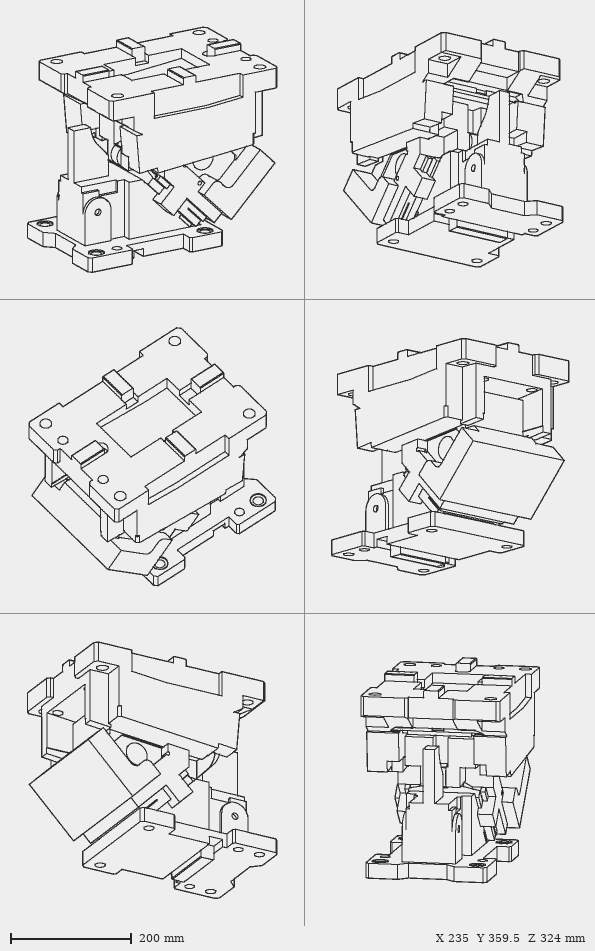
import cadquery as cq
import math


SLOPE = math.sqrt(0.5)
TILT = math.tan(math.radians(5))
total_depth = 359.5
total_height = 324.0
key_width = 24.8
key_height = 12.2
key_chamfer = 1.5
keyway_depth = 13.3
corner_chamfer = 5.5

base_half_width = 102.5
base_depth = 260.0
base_plate_height = 25.0
base_front_notch_half = 32.5
base_front_notch_depth = 15.0
side_notch_depth = 23.5
side_notch_front = 85.2
side_notch_back = 195.0
lug_chamfer = 3.5
base_key_y = 105.5
base_key_half_length = 49.5
base_bolt_x = 82.5
base_bolt_inset = 25.0
base_bolt_diameter = 17.0
counterbore_diameter = 26.5
counterbore_depth = 2.0
dowel_y = 65.0
dowel_diameter = 15.8

block_front = 25.5
block_half_width = 39.2
block_top = 125.0
way_block_front = 105.0
way_half_width = 55.0
toe_foot = -179.8
toe_above = 9.5
step_half_width = 33.5
step_y = 56.5
step_front_z = 114.7
step_back_z = 105.0
boss_half_width = 45.3
boss_radius = 25.0
boss_axis_z = 79.5
boss_hole_diameter = 11.0
tower_half_width = 9.7
tower_back = 92.0
tower_tip_back = 58.0
tower_top = 216.0
tower_curve_middle = (61.5, 200.5)
tower_curve_end = (68.5, 187.0)
tower_slope_end_z = 161.8

way_start_y = 130.0
slider_half_width = 100.0
plate_foot = -161.5
plate_face = -121.0
plate_low = 44.0
plate_high = (total_depth - way_start_y) / SLOPE + plate_foot
lip_along = -86.5
lip_above = 78.0
lip_radius = 10.8
cheek_half_width = 81.0
cheek_foot = -151.5
cheek_low = 23.5
cheek_high = 62.5
hook_foot = -77.0
hook_head = -41.7
hook_low = -13.0
wear_half_width = 68.0
wear_step_foot = -141.3
wear_step_above = 14.5
wear_foot = -136.0
wear_head = -15.8
wear_bevel = 1.8
wear_bevel_head = -100.5
gib_half_width = 55.7
gib_foot = -135.2
gib_head = -106.0
gib_low = -5.8
saddle_half_width = 60.0
saddle_head = -11.5
saddle_edge_above = 13.5
saddle_ridge_above = 28.0
roof_half_width = 28.8
roof_low_half_width = 45.0
roof_above = 29.5
roof_foot = -72.0
neck_half_width = 63.0
slider_front = 157.5
cheek_back = 197.8
neck_back = 297.7
shoulder_z = 166.0
slider_hole_y = 245.0
slider_hole_z = 142.7
slider_hole_diameter = 39.5
neck_recess_depth = 3.5
neck_recess_low = 79.0
neck_recess_above = 133.5
neck_recess_chamfer = 5.8
relief_radius = 3.2
relief_along = -78.7
relief_above = 56.0
nose_front = 116.5
nose_half_width = 59.7
nose_low = 170.0
nose_top = 219.0
chin_half_width = 33.5
chin_low = 136.5
tower_slot_half_width = 12.5
tower_slot_back = 140.2
lobe_y = 129.0
lobe_z = 153.0
lobe_radius = 20.0
lobe_half_width = 9.7

holder_half_width = 117.5
holder_front = 31.5
holder_back = 356.0
holder_top = total_height - 2 * key_height
holder_plate_height = 35.0
front_notch_half = 38.0
front_notch_depth = 10.0
back_notch_half = 42.5
back_notch_depth = 10.0
notch_chamfer = 4.5
skirt_back = 311.5
skirt_bevel = 4.5
skirt_bevel_top = 192.7
skirt_low_front = (123.5, 157.5)
skirt_lip = (122.0, 166.5)
toe_low = (87.7, 163.2)
toe_high = (82.0, 230.5)
undercut_start = (93.5, 230.5)
undercut_end = (31.5, 267.5)
gusset_half_width = 79.0
skirt_front = 76.2
back_leg_front = 306.7
back_leg_back = 346.0
back_leg_low = 168.3
back_leg_half_width = 82.0
channel_half_width = 63.5
channel_low_half_width = 65.5
channel_low_top = 182.0
channel_front_y = 100.0
channel_front_z = 223.5
mouth_half_width = 67.0
mouth_back = 95.3
mouth_top = 242.0
mouth_low = 233.0
groove_half_width = 9.7
groove_low = 235.0
groove_depth = 3.5
lintel_back = 108.0
lintel_pocket_inner = 54.0
lintel_pocket_back = 115.0
skirt_notch_half = 83.8
skirt_notch_back = 124.5
skirt_notch_top = 182.0
side_pocket_depth = 10.0
side_pocket_front = 116.0
side_pocket_back = 287.0
side_pocket_bend = 222.2
side_pocket_z = 255.0
top_pocket_half_width = 45.3
top_pocket_front = 116.0
top_pocket_back = 266.0
top_pocket_bend = 163.5
top_pocket_depth = 26.0
key_length = 50.0
cross_key_y = 190.2
back_keyway_end = 282.0
holder_hole_x = 97.8
holder_hole_front = 56.8
holder_hole_back = 331.5
holder_hole_diameter = 19.5
tap_hole_x = 53.0
tap_hole_diameter = 17.0


def box(x0, x1, y0, y1, z0, z1):
    """Box between two corners."""
    return cq.Workplane("XY").box(x1 - x0, y1 - y0, z1 - z0, centered=False).translate((x0, y0, z0))


def bar(half_width, y0, y1, z0, z1):
    """Box centred on the mid plane."""
    return box(-half_width, half_width, y0, y1, z0, z1)


def profile(points, half_width):
    """Side outline in (Y, Z), extruded evenly to both sides of the mid plane."""
    return cq.Workplane("YZ").polyline(points).close().extrude(half_width, both=True)


def both_sides(shape):
    """A shape together with its mirror image across the mid plane."""
    return shape.union(shape.mirror("YZ"))


def on_way(along, above):
    """(Y, Z) of a point given along the way (up-slope) and square to it."""
    return (way_start_y + (above - along) * SLOPE, block_top + (above + along) * SLOPE)


def way_z(y, above):
    """Height at y of the plane that lies above the way by the given amount."""
    return way_start_y + block_top + above / SLOPE - y


def way_bar(half_width, foot, head, low, high):
    """Bar lying along the way."""
    corners = [(foot, low), (head, low), (head, high), (foot, high)]
    return profile([on_way(*corner) for corner in corners], half_width)


def way_section(points, foot, head):
    """Cross-section in (X, above the way), extruded along the way."""
    start_y, start_z = on_way(foot, 0)
    plane = cq.Plane(origin=(0, start_y, start_z), xDir=(1, 0, 0), normal=(0, -1, 1))
    return cq.Workplane(plane).polyline(points).close().extrude(head - foot)


def holes(positions, diameter, bottom, top):
    """Vertical round cutters."""
    plane = cq.Workplane("XY", origin=(0, 0, bottom))
    return plane.pushPoints(positions).circle(diameter / 2).extrude(top - bottom)


def key(x0, x1, y0, y1, bottom, top, edges):
    """Square key with the chosen long edges chamfered."""
    return box(x0, x1, y0, y1, bottom, top).edges(edges).chamfer(key_chamfer)


def contact_z(y):
    """Height of the tilted face where holder and slider meet."""
    return skirt_low_front[1] + (y - skirt_low_front[0]) * TILT


def base_plate():
    plate = bar(base_half_width, 0, base_depth, 0, base_plate_height)
    plate = plate.edges("|Z").chamfer(corner_chamfer)
    side_notch = box(base_half_width - side_notch_depth, base_half_width, side_notch_front, side_notch_back,
                     0, base_plate_height)
    lug_bevel = (
        cq.Workplane("XY")
        .polyline([
            (base_half_width - lug_chamfer, side_notch_front),
            (base_half_width, side_notch_front - lug_chamfer),
            (base_half_width, side_notch_back + lug_chamfer),
            (base_half_width - lug_chamfer, side_notch_back),
        ])
        .close()
        .extrude(base_plate_height)
    )
    inner = base_front_notch_half
    outer = base_front_notch_half + base_front_notch_depth
    front_notch = (
        cq.Workplane("XY")
        .polyline([(-outer, 0), (-inner, base_front_notch_depth), (inner, base_front_notch_depth), (outer, 0)])
        .close()
        .extrude(base_plate_height)
    )
    return plate.cut(both_sides(side_notch.union(lug_bevel))).cut(front_notch)


def base_holes():
    bolt_rows = (base_bolt_inset, base_depth - base_bolt_inset)
    bolts = [(x, y) for x in (-base_bolt_x, base_bolt_x) for y in bolt_rows]
    dowels = [(x, dowel_y) for x in (-base_bolt_x, base_bolt_x)]
    bores = holes(bolts, base_bolt_diameter, 0, base_plate_height)
    counterbores = holes(bolts, counterbore_diameter, base_plate_height - counterbore_depth, base_plate_height)
    return bores.union(counterbores).union(holes(dowels, dowel_diameter, 0, base_plate_height))


def base_block():
    front = bar(block_half_width, block_front, way_block_front, base_plate_height, block_top)
    step_width = block_half_width
    step = box(step_half_width, step_width, block_front, tower_back, step_front_z, block_top)
    step = step.union(box(step_half_width, step_width, step_y, tower_back, step_back_z, block_top))
    way_back = way_z(base_plate_height, 0)
    way = profile([(way_block_front, base_plate_height), (way_block_front, block_top), (way_start_y, block_top),
                   (way_back, base_plate_height)], way_half_width)
    toe = way_bar(way_half_width, toe_foot, wear_foot, 0, toe_above)
    toe = toe.intersect(bar(way_half_width, way_block_front, base_depth, base_plate_height, block_top))
    return front.cut(both_sides(step)).union(way).union(toe)


def boss():
    middle_y = block_front + boss_radius
    side = cq.Workplane("YZ", origin=(block_half_width, 0, 0))
    thickness = boss_half_width - block_half_width
    pad = side.center(middle_y, boss_axis_z).circle(boss_radius).extrude(thickness)
    pad = pad.union(box(block_half_width, boss_half_width, block_front, block_front + 2 * boss_radius,
                        base_plate_height, boss_axis_z))
    hole = side.center(middle_y, boss_axis_z).circle(boss_hole_diameter / 2).extrude(thickness)
    return pad.cut(hole)


def tower():
    return (
        cq.Workplane("YZ")
        .moveTo(block_front, block_top)
        .lineTo(block_front, tower_top)
        .lineTo(tower_tip_back, tower_top)
        .threePointArc(tower_curve_middle, tower_curve_end)
        .lineTo(tower_back, tower_slope_end_z)
        .lineTo(tower_back, block_top)
        .close()
        .extrude(tower_half_width, both=True)
    )


def make_base():
    front = base_key_y - key_width / 2
    back = base_key_y + key_width / 2
    keyway = bar(base_half_width, front, back, 0, keyway_depth)
    base_key = key(-base_key_half_length, base_key_half_length, front, back, -key_height, keyway_depth,
                   "|X and <Z")
    plate = base_plate().cut(base_holes()).cut(keyway).union(base_key)
    return plate.union(base_block()).union(both_sides(boss())).union(tower())


def mounting_plate():
    outline = [
        (plate_foot, plate_low), (lip_along, plate_low), (lip_along, lip_above), (plate_face, lip_above),
        (plate_face, plate_high), (plate_foot, plate_high),
    ]
    plate = profile([on_way(*point) for point in outline], slider_half_width)
    for corner in [(lip_along, lip_above), (plate_face, lip_above)]:
        plate = plate.edges(cq.NearestToPointSelector((0, *on_way(*corner)))).fillet(lip_radius)
    return plate


def cheeks():
    inner_corner = (cheek_back, way_z(cheek_back, cheek_high))
    outline = [
        on_way(cheek_foot, cheek_low), (slider_front, way_z(slider_front, cheek_low)),
        (slider_front, contact_z(slider_front)), (cheek_back, contact_z(cheek_back)), inner_corner,
        on_way(cheek_foot, cheek_high),
    ]
    hook = way_bar(cheek_half_width, hook_foot, hook_head, hook_low, cheek_high)
    reliefs = (
        cq.Workplane("YZ")
        .pushPoints([inner_corner, on_way(relief_along, relief_above)])
        .circle(relief_radius)
        .extrude(cheek_half_width, both=True)
    )
    return profile(outline, cheek_half_width).union(hook).cut(reliefs)


def neck():
    top_front = nose_top + (slider_front - nose_front) * TILT
    top_back = nose_top + (neck_back - nose_front) * TILT
    shoulder_back = way_z(0, plate_high) - shoulder_z
    outline = [
        on_way(cheek_foot, cheek_low), (slider_front, way_z(slider_front, cheek_low)),
        (slider_front, top_front), (neck_back, top_back), (neck_back, shoulder_z), (shoulder_back, shoulder_z),
        on_way(plate_face, plate_high), on_way(plate_face, plate_low),
    ]
    return profile(outline, neck_half_width).cut(both_sides(neck_recess()))


def neck_recess():
    """Shallow recess in the side of the neck, behind the cheek and below the holder."""
    top_y = (way_z(0, neck_recess_above) - contact_z(0)) / (1 + TILT)
    outline = [
        on_way(plate_face, neck_recess_low), on_way(plate_face, neck_recess_above - neck_recess_chamfer),
        on_way(plate_face + neck_recess_chamfer, neck_recess_above), (top_y, contact_z(top_y)),
        (cheek_back, contact_z(cheek_back)), (cheek_back, way_z(cheek_back, cheek_high)),
        on_way(lip_along, cheek_high),
    ]
    side = cq.Workplane("YZ", origin=(neck_half_width - neck_recess_depth, 0, 0))
    return side.polyline(outline).close().extrude(neck_recess_depth)


def saddle_roof():
    """Hollow above the saddle in the front of the slider."""
    outline = [(-roof_low_half_width, cheek_low), (roof_low_half_width, cheek_low),
               (roof_half_width, roof_above), (-roof_half_width, roof_above)]
    return way_section(outline, roof_foot, 0)


def wear_plates():
    upper = way_bar(wear_half_width, wear_step_foot, hook_head, wear_step_above, cheek_low)
    lower = way_bar(wear_half_width, wear_foot, hook_foot, 0, wear_step_above)
    bevel = way_section([
        (wear_half_width, wear_step_above), (wear_half_width - wear_bevel, wear_step_above),
        (wear_half_width, wear_step_above - wear_bevel),
    ], wear_foot, wear_bevel_head)
    lower = lower.cut(both_sides(bevel))
    gib = way_bar(gib_half_width, gib_foot, gib_head, gib_low, 0)
    gib = gib.cut(bar(way_half_width, 0, total_depth, 0, block_top))
    strips = way_bar(wear_half_width, hook_head, wear_head, wear_step_above, cheek_low)
    strips = strips.cut(bar(saddle_half_width, 0, total_depth, 0, block_top + saddle_ridge_above))
    saddle_outline = [
        (-saddle_half_width, 0), (saddle_half_width, 0), (saddle_half_width, saddle_edge_above),
        (0, saddle_ridge_above), (-saddle_half_width, saddle_edge_above),
    ]
    saddle = way_section(saddle_outline, wear_foot, saddle_head)
    return upper.union(lower).union(gib).union(strips).union(saddle)


def nose():
    top_back = nose_top + (slider_front - nose_front) * TILT
    block = profile([(nose_front, nose_low), (slider_front, nose_low), (slider_front, top_back),
                     (nose_front, nose_top)], nose_half_width)
    chin_low_back = chin_low + (slider_front - nose_front) * TILT
    chin = profile([(nose_front, chin_low), (slider_front, chin_low_back), (slider_front, nose_low),
                    (nose_front, nose_low)], chin_half_width)
    slot = bar(tower_slot_half_width, nose_front, tower_slot_back, nose_low, top_back)
    lobe = (
        cq.Workplane("YZ").center(lobe_y, lobe_z).circle(lobe_radius).extrude(lobe_half_width, both=True)
    )
    return block.cut(slot).union(chin).union(lobe)


def make_slider():
    front = cheeks().union(neck()).cut(saddle_roof())
    way_gap = way_bar(way_half_width, cheek_foot, slider_front, hook_low, 0)
    body = mounting_plate().union(front).cut(way_gap).union(wear_plates()).union(nose())
    hole = (
        cq.Workplane("YZ")
        .center(slider_hole_y, slider_hole_z)
        .circle(slider_hole_diameter / 2)
        .extrude(slider_half_width, both=True)
    )
    return body.cut(hole)


def holder_outline():
    """Plan shape of the holder, used to trim its corners and notches."""
    right = [
        (front_notch_half, holder_front + front_notch_depth),
        (front_notch_half, holder_front + notch_chamfer),
        (front_notch_half + notch_chamfer, holder_front),
        (holder_half_width - corner_chamfer, holder_front),
        (holder_half_width, holder_front + corner_chamfer),
        (holder_half_width, holder_back - corner_chamfer),
        (holder_half_width - corner_chamfer, holder_back),
        (back_notch_half + notch_chamfer, holder_back),
        (back_notch_half, holder_back - notch_chamfer),
        (back_notch_half, holder_back - back_notch_depth),
    ]
    left = [(-x, y) for x, y in reversed(right)]
    return cq.Workplane("XY").polyline(right + left).close().extrude(holder_top)


def holder_body():
    plate_low_z = holder_top - holder_plate_height
    skirt = profile([
        (skirt_back, plate_low_z), (skirt_back, contact_z(skirt_back)), skirt_low_front,
        skirt_lip, toe_low, toe_high, undercut_start,
        (skirt_front, undercut_start[1]), (skirt_front, plate_low_z),
    ], holder_half_width)
    bevel = (
        cq.Workplane("XY", origin=(holder_half_width, skirt_back, 0))
        .polyline([(0, 0), (-skirt_bevel, 0), (0, -skirt_bevel)])
        .close()
        .extrude(skirt_bevel_top)
    )
    plate = bar(holder_half_width, holder_front, holder_back, plate_low_z, holder_top)
    gusset = bar(gusset_half_width, holder_front, skirt_front, undercut_start[1], plate_low_z)
    gusset = gusset.cut(bar(front_notch_half, holder_front, skirt_front, undercut_start[1], plate_low_z))
    undercut = profile([undercut_start, undercut_end, (holder_front, undercut_start[1])], holder_half_width)
    legs = profile([
        (back_leg_front, plate_low_z), (back_leg_front, back_leg_low),
        (back_leg_back, back_leg_low + (back_leg_back - back_leg_front) * TILT), (back_leg_back, plate_low_z),
    ], back_leg_half_width)
    body = plate.union(skirt.cut(both_sides(bevel))).union(gusset).cut(undercut).union(legs)
    return body.intersect(holder_outline())


def channel():
    back_z = channel_front_z + (holder_back - channel_front_y) * TILT
    upper = profile([(channel_front_y, 0), (holder_back, 0), (holder_back, back_z),
                     (channel_front_y, channel_front_z)], channel_half_width)
    lower = bar(channel_low_half_width, holder_front, holder_back, 0, channel_low_top)
    skirt_notch = bar(skirt_notch_half, toe_high[0], skirt_notch_back, 0, skirt_notch_top)
    head_gap = bar(channel_half_width, toe_high[0], lintel_back, 0, mouth_low)
    lintel_pocket = box(lintel_pocket_inner, channel_half_width, toe_high[0], lintel_pocket_back, 0, mouth_low)
    return upper.union(lower).union(skirt_notch).union(head_gap).union(both_sides(lintel_pocket))


def mouth():
    """Flared opening in front of the channel, with a groove in its back wall."""
    depth = mouth_back - skirt_front
    opening = bar(mouth_half_width, skirt_front, mouth_back, mouth_low, mouth_top)
    flare = (
        cq.Workplane("XZ", origin=(0, mouth_back, 0))
        .polyline([(-gusset_half_width, mouth_low), (gusset_half_width, mouth_low),
                   (mouth_half_width, mouth_top), (-mouth_half_width, mouth_top)])
        .close()
        .extrude(depth)
    )
    groove = bar(groove_half_width, mouth_back, mouth_back + groove_depth, groove_low, mouth_top)
    return opening.union(flare).union(groove)


def side_pockets():
    slope_top = side_pocket_z + (side_pocket_back - side_pocket_bend) * TILT
    outline = [(side_pocket_front, side_pocket_z), (side_pocket_bend, side_pocket_z),
               (side_pocket_back, slope_top), (side_pocket_back, holder_top), (side_pocket_front, holder_top)]
    pocket = cq.Workplane("YZ", origin=(holder_half_width - side_pocket_depth, 0, 0)).polyline(outline).close()
    return both_sides(pocket.extrude(side_pocket_depth))


def top_pocket():
    floor_z = holder_top - top_pocket_depth
    slope_top = floor_z + (top_pocket_back - top_pocket_bend) * TILT
    return profile([(top_pocket_front, floor_z), (top_pocket_bend, floor_z), (top_pocket_back, slope_top),
                    (top_pocket_back, holder_top), (top_pocket_front, holder_top)], top_pocket_half_width)


def holder_keyways():
    half = key_width / 2
    floor_z = holder_top - keyway_depth
    lengthwise = bar(half, holder_front, top_pocket_front, floor_z, holder_top)
    back = bar(half, back_keyway_end + half, holder_back, floor_z, holder_top)
    round_end = holes([(0, back_keyway_end + half)], key_width, floor_z, holder_top)
    crosswise = bar(holder_half_width, cross_key_y - half, cross_key_y + half, floor_z, holder_top)
    return lengthwise.union(back).union(round_end).union(crosswise)


def holder_keys():
    half = key_width / 2
    low = holder_top - keyway_depth
    high = holder_top + key_height
    front = holder_front + front_notch_depth
    back = holder_back - back_notch_depth
    side = holder_half_width - side_pocket_depth
    keys = key(-half, half, front, front + key_length, low, high, "|Y and >Z")
    keys = keys.union(key(-half, half, back - key_length, back, low, high, "|Y and >Z"))
    cross_key = key(side - key_length, side, cross_key_y - half, cross_key_y + half, low, high, "|X and >Z")
    return keys.union(both_sides(cross_key))


def make_holder():
    bolts = [(x, y) for x in (-holder_hole_x, holder_hole_x) for y in (holder_hole_front, holder_hole_back)]
    taps = [(x, holder_hole_back) for x in (-tap_hole_x, tap_hole_x)]
    body = holder_body().cut(channel()).cut(mouth())
    body = body.cut(side_pockets()).cut(top_pocket()).cut(holder_keyways())
    body = body.cut(holes(bolts, holder_hole_diameter, 0, holder_top))
    body = body.cut(holes(taps, tap_hole_diameter, 0, holder_top))
    return body.union(holder_keys())


base = make_base()
slider = make_slider()
holder = make_holder()
result = cq.Compound.makeCompound([base.solids().val(), slider.solids().val(), holder.solids().val()])